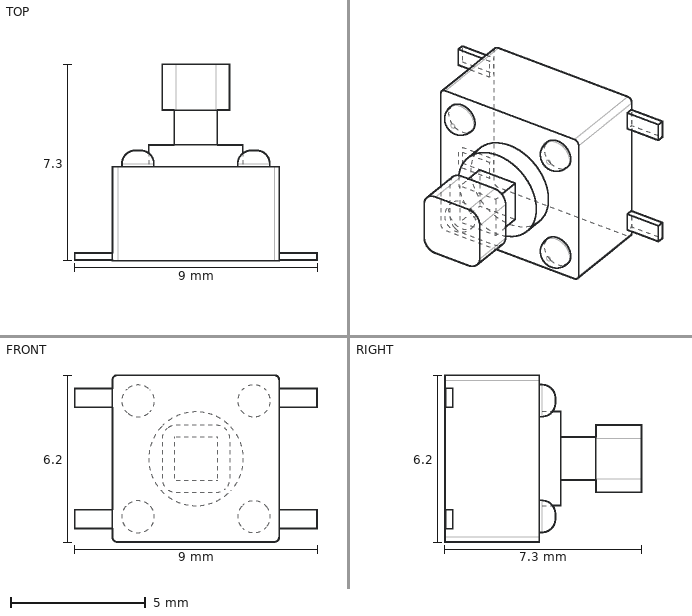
import cadquery as cq

body_side = 6.2
body_depth = 3.5
body_corner_radius = 0.2

terminal_span = 9.0
terminal_thickness = 0.27
terminal_width = 0.7
terminal_pitch = 4.5
terminal_base_gap = 0.03

collar_diameter = 3.5
collar_height = 0.8
stem_side = 1.6
stem_length = 1.3
cap_side = 2.5
cap_length = 1.7
cap_corner_radius = 0.5

rivet_diameter = 1.2
rivet_height = 0.6
rivet_dome_radius = 0.5
rivet_pitch = 4.3

collar_top = body_depth + collar_height
cap_start = collar_top + stem_length


def plane_at(y):
    """XZ plane at the given height above the base."""
    return cq.Workplane("XZ", origin=(0, y, 0))


def square_block(y, side, length):
    """Square block centred on the plunger axis, growing along +Y from y."""
    return plane_at(y).rect(side, side).extrude(-length)


def make_body():
    block = square_block(0, body_side, body_depth)
    return block.edges("|Y").fillet(body_corner_radius)


def make_terminals():
    return (
        plane_at(terminal_base_gap)
        .rarray(0.09, terminal_pitch, 1, 2)
        .rect(terminal_span, terminal_width)
        .extrude(-terminal_thickness)
    )


def make_rivets():
    heads = (
        plane_at(body_depth)
        .rarray(rivet_pitch, rivet_pitch, 2, 2)
        .circle(rivet_diameter / 2)
        .extrude(-rivet_height)
    )
    return heads.faces(">Y").edges().fillet(rivet_dome_radius)


def make_plunger():
    collar = plane_at(body_depth).circle(collar_diameter / 2).extrude(-collar_height)
    stem = square_block(collar_top, stem_side, stem_length)
    cap = square_block(cap_start, cap_side, cap_length)
    cap = cap.edges("|Y").fillet(cap_corner_radius)
    return collar.union(stem).union(cap)


result = make_body().union(make_terminals()).union(make_rivets()).union(make_plunger())